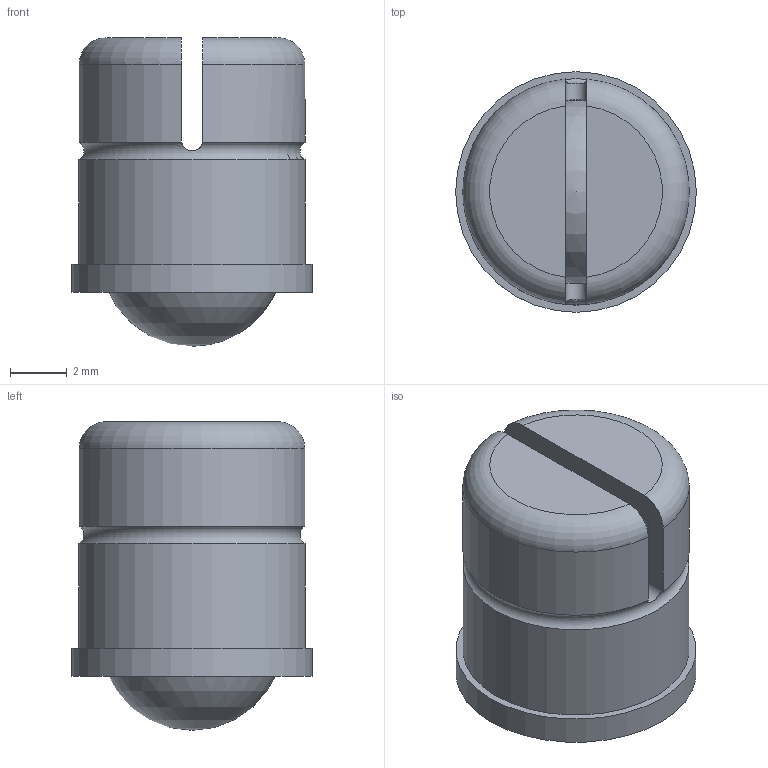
import cadquery as cq
import math


flange_diameter = 8.5
flange_height = 1.0
body_diameter = 8.0
sleeve_height = 9.0
top_round = 0.95

groove_centre_z = 5.0
groove_mouth = 0.63
groove_depth = 0.18

slot_width = 0.75
slot_depth = 4.0

ball_diameter = 6.5
ball_protrusion = 1.9
roof_thickness = 1.0

flange_radius = flange_diameter / 2
body_radius = body_diameter / 2
ball_radius = ball_diameter / 2
ball_centre_z = ball_radius - ball_protrusion
bore_top_z = sleeve_height - roof_thickness
slot_floor_z = sleeve_height - slot_depth


def make_sleeve_blank():
    """Revolve the outside of the sleeve: flange, grooved body and rounded top."""
    groove_low_z = groove_centre_z - groove_mouth / 2
    groove_high_z = groove_centre_z + groove_mouth / 2
    shoulder_z = sleeve_height - top_round
    round_offset = top_round * math.sqrt(0.5)
    return (
        cq.Workplane("XZ")
        .lineTo(flange_radius, 0)
        .lineTo(flange_radius, flange_height)
        .lineTo(body_radius, flange_height)
        .lineTo(body_radius, groove_low_z)
        .threePointArc((body_radius - groove_depth, groove_centre_z), (body_radius, groove_high_z))
        .lineTo(body_radius, shoulder_z)
        .threePointArc(
            (body_radius - top_round + round_offset, shoulder_z + round_offset),
            (body_radius - top_round, sleeve_height),
        )
        .lineTo(0, sleeve_height)
        .close()
        .revolve(360, (0, 0, 0), (0, 1, 0))
    )


def make_ball():
    """Full ball, sticking out below the flange."""
    return cq.Workplane("XY").sphere(ball_radius).translate((0, 0, ball_centre_z))


def make_bore():
    """Cylindrical bore above the ball centre; the ball itself forms the seat below it."""
    return (
        cq.Workplane("XY")
        .workplane(offset=ball_centre_z)
        .circle(ball_radius)
        .extrude(bore_top_z - ball_centre_z)
    )


def make_slot():
    """Slot across the whole sleeve, with a half-round floor."""
    slot_radius = slot_width / 2
    floor_centre_z = slot_floor_z + slot_radius
    return (
        cq.Workplane("XZ")
        .moveTo(-slot_radius, sleeve_height)
        .lineTo(-slot_radius, floor_centre_z)
        .threePointArc((0, slot_floor_z), (slot_radius, floor_centre_z))
        .lineTo(slot_radius, sleeve_height)
        .close()
        .extrude(flange_radius, both=True)
    )


ball = make_ball()
sleeve = make_sleeve_blank().cut(make_bore()).cut(ball).cut(make_slot())

result = cq.Compound.makeCompound([sleeve.val(), ball.val()])